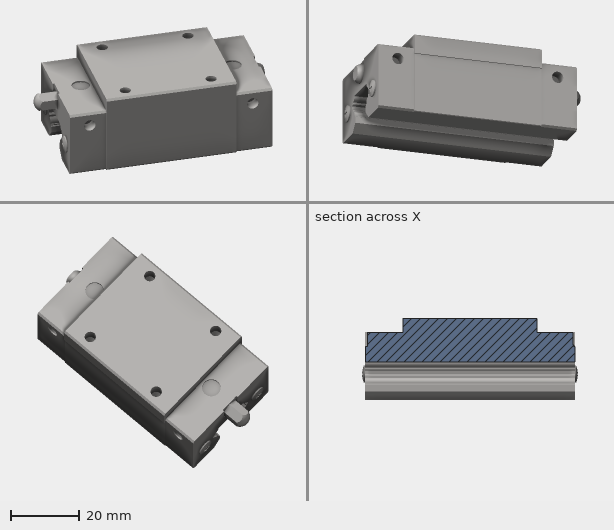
import cadquery as cq
import math

BLOCK_WIDTH = 34.0
BLOCK_LENGTH = 39.4
BLOCK_HEIGHT = 24.0
BLOCK_CHAMFER = 0.6
SIDE_RELIEF_DEPTH = 0.4
SIDE_RELIEF_TOP = 18.0

CAP_WIDTH = 33.0
CAP_HEIGHT = 19.9
CAP_CHAMFER = 0.6
CAP_LENGTH = 11.0
FACE_Y = BLOCK_LENGTH / 2 + CAP_LENGTH

CHANNEL_HALF_WIDTH = 5.4
CHANNEL_TOP_CHAMFER = 0.1
RACE_CENTER_Z = 8.1
RACE_HALF_WIDTH = 7.5
RACE_HALF_FLAT = 0.5
RACE_STEP_HALF_WIDTH = 6.8
RACE_STEP_INNER = 0.9
RACE_STEP_OUTER = 1.5
LIP_RADIUS = RACE_STEP_HALF_WIDTH - CHANNEL_HALF_WIDTH
LEDGE_HALF_WIDTH = 5.1
UPPER_LEDGE_OUTER_Z = 5.0
UPPER_LEDGE_INNER_Z = 4.9
LOWER_LEDGE_OUTER_Z = 4.6
LOWER_LEDGE_INNER_Z = 4.4
MOUTH_HALF_WIDTH = 4.7
MOUTH_FLARE = 2.5

MOUNT_PITCH = 26.0
MOUNT_DIAMETER = 3.3
MOUNT_DEPTH = 4.0
DRILL_POINT_ANGLE = 118.0

TOP_PORT_DIAMETER = 5.4
TOP_PORT_DEPTH = 0.5
SIDE_PORT_DIAMETER = 3.5
SIDE_PORT_DEPTH = 4.0
SIDE_PORT_Z = 15.85
TOP_PORT_OFFSET = 3.3
SIDE_PORT_OFFSET = 5.0
TOP_PORT_Y = BLOCK_LENGTH / 2 + TOP_PORT_OFFSET
SIDE_PORT_Y = BLOCK_LENGTH / 2 + SIDE_PORT_OFFSET

FITTING_Z = 16.1
FITTING_RADIUS = 3.0
POCKET_DEPTH = 0.5
NIPPLE_ACROSS_FLATS = 5.0
NIPPLE_REACH = 6.56
PLUG_REACH = 1.6

SCREW_X = 11.4
SCREW_Z = 7.6
SCREW_RADIUS = 2.5
SCREW_RIM = 0.4
SCREW_HEIGHT = 0.9
CROSS_LENGTH = 2.5
CROSS_WIDTH = 0.42
CROSS_DEPTH = 0.5

ENDS = (-1, 1)
SIDES = (-1, 1)


def bar(width, length, height, chamfer):
    """Bar along Y with chamfered long edges, standing on Z = 0."""
    box = cq.Workplane("XY").box(width, length, height, centered=(True, True, False))
    return box.edges("|Y").chamfer(chamfer)


def carriage_body():
    block = bar(BLOCK_WIDTH, BLOCK_LENGTH, BLOCK_HEIGHT, BLOCK_CHAMFER)
    relief = cq.Workplane("XY").box(
        SIDE_RELIEF_DEPTH, BLOCK_LENGTH, SIDE_RELIEF_TOP, centered=(False, True, False)
    ).translate((-BLOCK_WIDTH / 2, 0, 0))
    body = block.cut(relief)
    for end in ENDS:
        cap = bar(CAP_WIDTH, CAP_LENGTH, CAP_HEIGHT, CAP_CHAMFER)
        body = body.union(cap.translate((0, end * (FACE_Y - CAP_LENGTH / 2), 0)))
    return body


def rail_channel():
    """Full-length channel: one half drawn from the centre line outwards, then mirrored about X = 0."""
    lip_reach = RACE_STEP_OUTER + LIP_RADIUS
    roof_z = RACE_CENTER_Z + lip_reach + CHANNEL_TOP_CHAMFER
    upper_lip = (CHANNEL_HALF_WIDTH, RACE_CENTER_Z + lip_reach)
    upper_step = (RACE_STEP_HALF_WIDTH, RACE_CENTER_Z + RACE_STEP_OUTER)
    lower_step = (RACE_STEP_HALF_WIDTH, RACE_CENTER_Z - RACE_STEP_OUTER)
    lower_lip = (CHANNEL_HALF_WIDTH, RACE_CENTER_Z - lip_reach)
    half = (
        cq.Workplane("XZ", origin=(0, FACE_Y, 0))
        .moveTo(0, roof_z)
        .lineTo(CHANNEL_HALF_WIDTH - CHANNEL_TOP_CHAMFER, roof_z)
        .lineTo(*upper_lip)
        .radiusArc(upper_step, -LIP_RADIUS)
        .lineTo(RACE_STEP_HALF_WIDTH, RACE_CENTER_Z + RACE_STEP_INNER)
        .lineTo(RACE_HALF_WIDTH, RACE_CENTER_Z + RACE_HALF_FLAT)
        .lineTo(RACE_HALF_WIDTH, RACE_CENTER_Z - RACE_HALF_FLAT)
        .lineTo(RACE_STEP_HALF_WIDTH, RACE_CENTER_Z - RACE_STEP_INNER)
        .lineTo(*lower_step)
        .radiusArc(lower_lip, -LIP_RADIUS)
        .lineTo(CHANNEL_HALF_WIDTH, UPPER_LEDGE_OUTER_Z)
        .lineTo(LEDGE_HALF_WIDTH, UPPER_LEDGE_INNER_Z)
        .lineTo(LEDGE_HALF_WIDTH, LOWER_LEDGE_OUTER_Z)
        .lineTo(MOUTH_HALF_WIDTH, LOWER_LEDGE_INNER_Z)
        .lineTo(MOUTH_HALF_WIDTH, MOUTH_FLARE)
        .lineTo(MOUTH_HALF_WIDTH + MOUTH_FLARE, 0)
        .lineTo(0, 0)
        .close()
        .extrude(2 * FACE_Y)
    )
    return half.union(half.mirror("YZ"))


def mounting_holes():
    """Blind drilled holes with conical bottoms."""
    radius = MOUNT_DIAMETER / 2
    point = radius / math.tan(math.radians(DRILL_POINT_ANGLE / 2))
    drill = (
        cq.Workplane("XZ")
        .polyline([(0, 0), (radius, 0), (radius, -MOUNT_DEPTH), (0, -MOUNT_DEPTH - point)])
        .close()
        .revolve(360, (0, 0, 0), (0, 1, 0))
        .translate((0, 0, BLOCK_HEIGHT))
    )
    holes = cq.Workplane("XY")
    for side in SIDES:
        for end in ENDS:
            holes = holes.add(drill.translate((side * MOUNT_PITCH / 2, end * MOUNT_PITCH / 2, 0)))
    return holes.combine()


def lubrication_ports():
    """Shallow round seats on the top and blind ports in both sides of each end cap."""
    ports = cq.Workplane("XY")
    for end in ENDS:
        seat = cq.Workplane("XY", origin=(0, end * TOP_PORT_Y, CAP_HEIGHT))
        ports = ports.add(seat.circle(TOP_PORT_DIAMETER / 2).extrude(-TOP_PORT_DEPTH))
        for side in SIDES:
            port = cq.Workplane("YZ", origin=(side * CAP_WIDTH / 2, end * SIDE_PORT_Y, SIDE_PORT_Z))
            ports = ports.add(port.circle(SIDE_PORT_DIAMETER / 2).extrude(-side * SIDE_PORT_DEPTH))
    return ports.combine()


def fitting_pocket():
    """U-shaped pocket, open at the top, in the front (-Y) end face."""
    pocket_floor = cq.Workplane("XZ", origin=(0, POCKET_DEPTH - FACE_Y, 0))
    return (
        pocket_floor
        .moveTo(-FITTING_RADIUS, CAP_HEIGHT)
        .lineTo(-FITTING_RADIUS, FITTING_Z)
        .threePointArc((0, FITTING_Z - FITTING_RADIUS), (FITTING_RADIUS, FITTING_Z))
        .lineTo(FITTING_RADIUS, CAP_HEIGHT)
        .close()
        .extrude(POCKET_DEPTH)
    )


def grease_nipple():
    """Hexagonal nipple with a spherical tip, standing on the front pocket floor."""
    floor_y = POCKET_DEPTH - FACE_Y
    corner_diameter = NIPPLE_ACROSS_FLATS / math.cos(math.pi / 6)
    reach = NIPPLE_REACH + POCKET_DEPTH
    hexagon = (
        cq.Workplane("XZ", origin=(0, floor_y, FITTING_Z))
        .transformed(rotate=(0, 0, 90))
        .polygon(6, corner_diameter)
        .extrude(reach)
    )
    straight = reach - FITTING_RADIUS
    envelope = (
        cq.Workplane("XZ", origin=(0, floor_y, FITTING_Z))
        .circle(FITTING_RADIUS)
        .extrude(straight)
        .union(cq.Workplane("XY").sphere(FITTING_RADIUS).translate((0, floor_y - straight, FITTING_Z)))
    )
    return hexagon.intersect(envelope)


def plug():
    """Flattened spherical plug standing on the rear pocket floor."""
    height = PLUG_REACH + POCKET_DEPTH
    ball = cq.Workplane("XY").sphere(FITTING_RADIUS)
    keep = cq.Workplane("XY").box(
        2 * FITTING_RADIUS, height, 2 * FITTING_RADIUS, centered=(True, False, True)
    )
    return ball.intersect(keep).translate((0, FACE_Y - POCKET_DEPTH, FITTING_Z))


def screw_head():
    """Domed cross-recessed head on the front end face, pointing to -Y."""
    dome = SCREW_HEIGHT - SCREW_RIM
    dome_radius = (SCREW_RADIUS ** 2 + dome ** 2) / (2 * dome)
    head = (
        cq.Workplane("XY")
        .moveTo(0, 0)
        .lineTo(SCREW_RADIUS, 0)
        .lineTo(SCREW_RADIUS, -SCREW_RIM)
        .radiusArc((0, -SCREW_HEIGHT), dome_radius)
        .close()
        .revolve(360, (0, 0, 0), (0, 1, 0))
    )
    cross_y = CROSS_DEPTH / 2 - SCREW_HEIGHT
    for width, height in ((CROSS_LENGTH, CROSS_WIDTH), (CROSS_WIDTH, CROSS_LENGTH)):
        slot = cq.Workplane("XY").box(width, CROSS_DEPTH, height)
        head = head.cut(slot.translate((0, cross_y, 0)))
    return head.translate((0, -FACE_Y, SCREW_Z))


def add_screws(body):
    head = screw_head()
    for side in SIDES:
        front = head.translate((side * SCREW_X, 0, 0))
        body = body.union(front).union(front.mirror("XZ"))
    return body


pocket = fitting_pocket()
carriage = carriage_body().cut(rail_channel())
carriage = carriage.cut(mounting_holes()).cut(lubrication_ports())
carriage = carriage.cut(pocket).cut(pocket.mirror("XZ"))
carriage = carriage.union(grease_nipple()).union(plug())
result = add_screws(carriage)